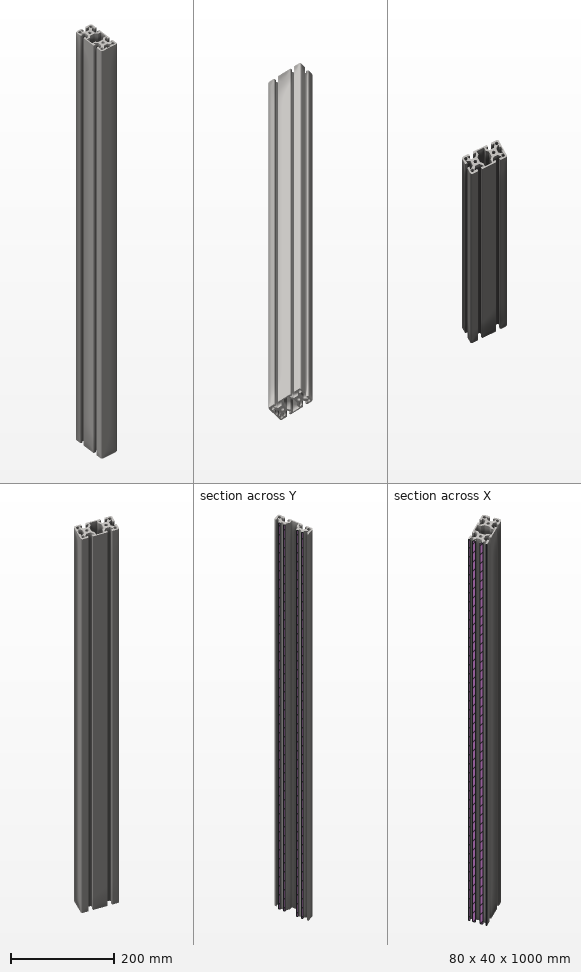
import cadquery as cq

WIDTH = 80.0
DEPTH = 40.0
LENGTH = 1000.0
CORNER_RADIUS = 4.0

SLOT_OPENING = 8.0
MOUTH_FLARE = 1.0
MOUTH_FLARE_DEPTH = 2.0
LIP_TIP_DEPTH = 5.0
LIP_ROOT_DEPTH = 4.0
SLOT_INNER_WIDTH = 19.0
SLOT_SIDE_DEPTH = 5.4
SLOT_FLOOR_WIDTH = 9.2
CLOSED_WALL = 2.0

CORE_SIZE = 16.0
CORE_BORE = 6.8

CORNER_HOLLOW = 6.2
CORNER_HOLLOW_INSET = 6.4
CORNER_HOLLOW_RADIUS = 2.0

CAVITY_TOP_WALL = 2.5
CAVITY_WIDTH = 25.0
CAVITY_SIDE_HEIGHT = 11.0
CAVITY_NECK_WIDTH = 16.0

CORE_X = WIDTH / 4
SLOT_FLOOR_DEPTH = (DEPTH - CORE_SIZE) / 2


def mirrored(half):
    """Join a half outline to its mirror image across the Y axis."""
    return half + [(-x, y) for x, y in reversed(half)]


def prism(points):
    """Full-length prism on a closed outline."""
    return cq.Workplane("XY").polyline(points).close().extrude(LENGTH)


def slot_cutter(entry):
    """T-slot running toward -Y from a face on the X axis; entry is its right-hand mouth outline."""
    inner = SLOT_INNER_WIDTH / 2
    half = entry + [
        (SLOT_OPENING / 2, -LIP_TIP_DEPTH),
        (inner, -LIP_ROOT_DEPTH),
        (inner, -SLOT_SIDE_DEPTH),
        (SLOT_FLOOR_WIDTH / 2, -SLOT_FLOOR_DEPTH),
    ]
    return prism(mirrored(half))


def place(cutter, angle, x, y):
    """Turn a cutter about Z, then move its mouth to (x, y)."""
    return cutter.rotate((0, 0, 0), (0, 0, 1), angle).translate((x, y, 0))


def central_cavity():
    """Cavity between the cores, tapering at 45 degrees to a neck beside the slots."""
    side = CAVITY_WIDTH / 2
    neck = CAVITY_NECK_WIDTH / 2
    shoulder = CAVITY_SIDE_HEIGHT / 2
    neck_start = shoulder + side - neck
    top = DEPTH / 2 - CAVITY_TOP_WALL
    upper = [(neck, top), (neck, neck_start), (side, shoulder)]
    lower = [(x, -y) for x, y in reversed(upper)]
    return prism(mirrored(upper + lower))


def core_bores():
    """Round bore through each core."""
    centers = [(-CORE_X, 0), (CORE_X, 0)]
    return cq.Workplane("XY").pushPoints(centers).circle(CORE_BORE / 2).extrude(LENGTH)


def corner_hollows():
    """Rounded square hollow in each corner of the bar."""
    span_x = WIDTH - 2 * CORNER_HOLLOW_INSET
    span_y = DEPTH - 2 * CORNER_HOLLOW_INSET
    return (
        cq.Workplane("XY")
        .rarray(span_x, span_y, 2, 2)
        .rect(CORNER_HOLLOW, CORNER_HOLLOW)
        .extrude(LENGTH)
        .edges("|Z")
        .fillet(CORNER_HOLLOW_RADIUS)
    )


bar = cq.Workplane("XY").rect(WIDTH, DEPTH).extrude(LENGTH).edges("|Z").fillet(CORNER_RADIUS)

flared_entry = [
    (SLOT_OPENING / 2 + MOUTH_FLARE, 0),
    (SLOT_OPENING / 2, -MOUTH_FLARE_DEPTH),
]
open_slot = slot_cutter(flared_entry)
for slot_x in (-CORE_X, CORE_X):
    bar = bar.cut(place(open_slot, 0, slot_x, DEPTH / 2))
    bar = bar.cut(place(open_slot, 180, slot_x, -DEPTH / 2))
bar = bar.cut(place(open_slot, 90, -WIDTH / 2, 0))

closed_slot = slot_cutter([(SLOT_OPENING / 2, -CLOSED_WALL)])
bar = bar.cut(place(closed_slot, -90, WIDTH / 2, 0))

result = bar.cut(core_bores()).cut(corner_hollows()).cut(central_cavity())